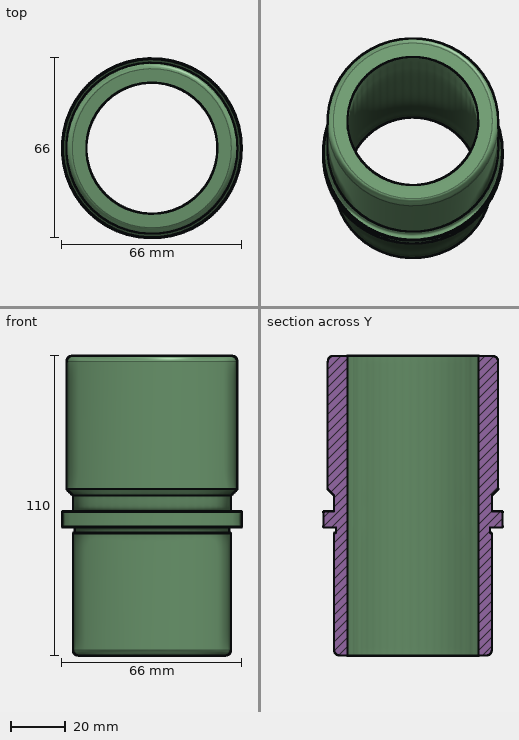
import cadquery as cq

total_height = 110.0
bore_radius = 24.0

lower_radius = 29.0
lower_top = 45.1
lower_edge_fillet = 2.2

groove_radius = 28.4
collar_bottom = 47.0

collar_radius = 33.0
collar_height = 6.0
edge_break = 0.3

upper_radius = 31.4
cone_bottom = 58.7
upper_bottom = cone_bottom + upper_radius - lower_radius
upper_edge_fillet = 2.2


def cylinder(radius, bottom, top):
    """Solid cylinder on the Z axis between two heights."""
    return cq.Workplane("XY").workplane(offset=bottom).circle(radius).extrude(top - bottom)


lower = cylinder(lower_radius, 0, lower_top).faces("<Z").edges().fillet(lower_edge_fillet)
lower = lower.faces(">Z").edges().chamfer(edge_break)

groove = cylinder(groove_radius, lower_top, collar_bottom)

collar_top = collar_bottom + collar_height
collar = cylinder(collar_radius, collar_bottom, collar_top).edges().chamfer(edge_break)

neck = cylinder(lower_radius, collar_top, cone_bottom)

cone = (
    cq.Workplane("XY")
    .workplane(offset=cone_bottom)
    .circle(lower_radius)
    .workplane(offset=upper_bottom - cone_bottom)
    .circle(upper_radius)
    .loft()
)

upper = cylinder(upper_radius, upper_bottom, total_height).faces(">Z").edges().fillet(upper_edge_fillet)

bore = cylinder(bore_radius, 0, total_height)
result = lower.union(groove).union(collar).union(neck).union(cone).union(upper).cut(bore)